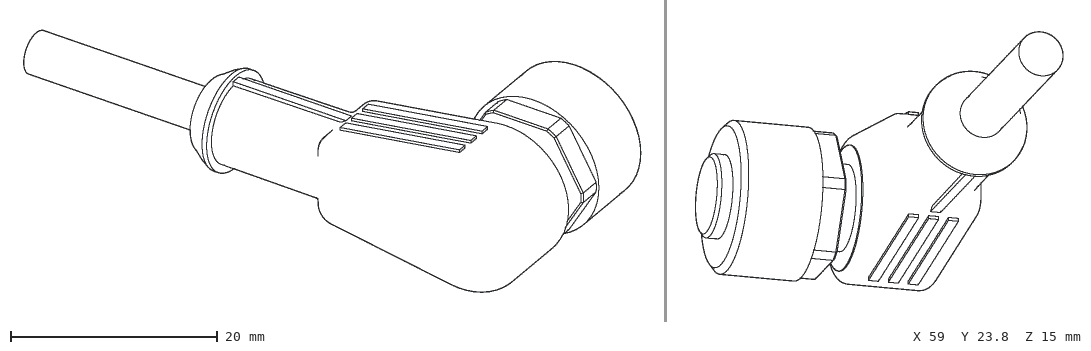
import cadquery as cq
import math


cable_dia = 4.5
collar_start = 20.0
collar_cone_start = 20.6
collar_rim_start = 22.5
collar_end = 23.0
collar_face_dia = 6.7
collar_cone_dia = 8.2
collar_rim_dia = 10.5
collar_nose_bulge = 0.15
collar_flank_bulge = 0.09

sleeve_start_dia = 8.8
sleeve_end_dia = 8.95
sleeve_rib_height = 4.85
rib_width = 1.0

length = 59.0
nut_dia = 15.0
coupling_x = length - nut_dia / 2
head_start = 34.9
head_half_thickness = 4.55
head_round_radius = 7.3
head_corner_radius = 2.0
head_edge_fillet = 1.0
taper_angle = math.radians(9)
joint_fillet = 0.9
contact_tolerance = 0.03

grip_rib_count = 3
grip_rib_pitch = 2 * rib_width
grip_rib_height = 0.3

pad_dia = 12.3
pad_top = 4.65
neck_dia = 8.5
hex_bottom = 6.5
hex_flats = 13.0
hex_corner_dia = 14.4
hex_chamfer = 0.2
nut_bottom = 8.95
nut_top = 17.05
nut_chamfer = 0.6
plug_dia = 8.2
plug_top = 18.5
plug_chamfer = 0.35

taper_sin = math.sin(taper_angle)
taper_cos = math.cos(taper_angle)
side_end_x = coupling_x - head_round_radius * taper_sin
side_end_z = head_round_radius * taper_cos
corner_x = head_start + head_corner_radius
side_start_x = corner_x - head_corner_radius * taper_sin
side_start_z = side_end_z - (side_end_x - side_start_x) * math.tan(taper_angle)
corner_z = side_start_z - head_corner_radius * taper_cos


def rod_x(diameter, start, end):
    """Cylinder on the cable axis."""
    return cq.Workplane("YZ", origin=(start, 0, 0)).circle(diameter / 2).extrude(end - start)


def rod_y(diameter, start, end):
    """Cylinder on the coupling axis."""
    plane = cq.Plane(origin=(coupling_x, start, 0), xDir=(1, 0, 0), normal=(0, 1, 0))
    return cq.Workplane(plane).circle(diameter / 2).extrude(end - start)


def revolve_about_cable(profile):
    return profile.close().revolve(360, (0, 0, 0), (1, 0, 0))


def make_collar():
    """Collar with a rounded nose and a slightly bulging flank up to the rim."""
    return revolve_about_cable(
        cq.Workplane("XY")
        .moveTo(collar_start, 0)
        .lineTo(collar_start, collar_face_dia / 2)
        .sagittaArc((collar_cone_start, collar_cone_dia / 2), collar_nose_bulge)
        .sagittaArc((collar_rim_start, collar_rim_dia / 2), collar_flank_bulge)
        .lineTo(collar_end, collar_rim_dia / 2)
        .lineTo(collar_end, 0)
    )


def make_sleeve():
    return revolve_about_cable(
        cq.Workplane("XY")
        .moveTo(collar_end, 0)
        .lineTo(collar_end, sleeve_start_dia / 2)
        .lineTo(corner_x, sleeve_end_dia / 2)
        .lineTo(corner_x, 0)
    )


def make_sleeve_ribs():
    """Flat ribs along the top and bottom of the sleeve."""
    rib_length = corner_x - collar_end
    centering = (False, True, True)
    ribs = cq.Workplane("XY").box(rib_length, rib_width, 2 * sleeve_rib_height, centered=centering)
    return ribs.translate((collar_end, 0, 0))


def make_head():
    diagonal = (math.pi / 2 - taper_angle) / 2
    corner_mid_x = corner_x - head_corner_radius * math.cos(diagonal)
    corner_mid_z = corner_z + head_corner_radius * math.sin(diagonal)
    return (
        cq.Workplane("XZ")
        .moveTo(head_start, corner_z)
        .threePointArc((corner_mid_x, corner_mid_z), (side_start_x, side_start_z))
        .lineTo(side_end_x, side_end_z)
        .threePointArc((coupling_x + head_round_radius, 0), (side_end_x, -side_end_z))
        .lineTo(side_start_x, -side_start_z)
        .threePointArc((corner_mid_x, -corner_mid_z), (head_start, -corner_z))
        .close()
        .extrude(head_half_thickness, both=True)
        .faces("<Y or >Y")
        .edges()
        .fillet(head_edge_fillet)
    )


def follows_sleeve(edge):
    """True for an edge near the head that lies on the sleeve's surface."""
    point = edge.positionAt(0.4)
    radius = math.hypot(point.y, point.z)
    share = (point.x - collar_end) / (corner_x - collar_end)
    sleeve_radius = (sleeve_start_dia + share * (sleeve_end_dia - sleeve_start_dia)) / 2
    return collar_end < point.x < corner_x and abs(radius - sleeve_radius) < contact_tolerance


def make_body():
    """Head and sleeve joined by a concave blend."""
    body = make_head().union(make_sleeve())
    joint = [edge for edge in body.edges().vals() if follows_sleeve(edge)]
    return body.newObject(joint).fillet(joint_fillet)


def make_grip_ribs():
    """Ribs standing on both tapered sides, side by side along Y."""
    rise = grip_rib_height / taper_cos
    outline = (
        cq.Workplane("XZ")
        .moveTo(side_start_x, side_start_z + rise)
        .lineTo(side_end_x, side_end_z + rise)
        .lineTo(side_end_x, -side_end_z - rise)
        .lineTo(side_start_x, -side_start_z - rise)
        .close()
        .extrude(rib_width / 2, both=True)
    )
    ribs = cq.Workplane("XY")
    for index in range(grip_rib_count):
        offset = (index - (grip_rib_count - 1) / 2) * grip_rib_pitch
        ribs = ribs.add(outline.translate((0, offset, 0)))
    return ribs.combine()


def make_hex():
    """Hexagon with flats facing +Z and -Z and corners turned round."""
    across_corners = hex_flats / math.cos(math.pi / 6)
    plane = cq.Plane(origin=(coupling_x, hex_bottom, 0), xDir=(1, 0, 0), normal=(0, 1, 0))
    hexagon = cq.Workplane(plane).polygon(6, across_corners).extrude(nut_bottom - hex_bottom)
    hexagon = hexagon.intersect(rod_y(hex_corner_dia, hex_bottom, nut_bottom))
    return hexagon.faces("<Y").chamfer(hex_chamfer)


def make_coupling():
    pad = rod_y(pad_dia, 0, pad_top)
    neck = rod_y(neck_dia, 0, nut_bottom)
    nut = rod_y(nut_dia, nut_bottom, nut_top).faces(">Y").chamfer(nut_chamfer)
    plug = rod_y(plug_dia, nut_bottom, plug_top).faces(">Y").chamfer(plug_chamfer)
    return pad.union(neck).union(make_hex()).union(nut).union(plug)


cable = rod_x(cable_dia, 0, collar_end)
result = (
    make_body()
    .union(make_sleeve_ribs())
    .union(make_grip_ribs())
    .union(make_collar())
    .union(cable)
    .union(make_coupling())
)